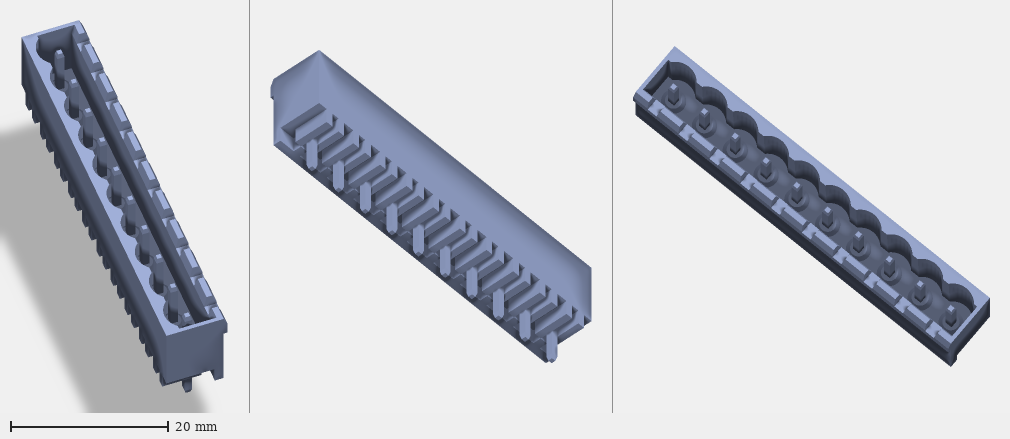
import cadquery as cq


length = 52.0
height = 12.05
latch_depth = 8.3
latch_overhang = 0.5
body_depth = latch_depth - latch_overhang
latch_drop = 3.0
latch_bevel_height = 1.2

pin_count = 10
end_to_pin = 3.1
pitch = (length - 2 * end_to_pin) / (pin_count - 1)
pin_x = [(i - (pin_count - 1) / 2) * pitch for i in range(pin_count)]
pin_y = 4.0

end_wall = 0.5
front_wall = 1.9
back_wall = 1.2
floor_z = 3.4
cavity_back = body_depth - back_wall
scallop_front = 0.95
scallop_width = 4.2
scallop_taper = 0.15

notch_depth = 1.5
notch_bottom_width = 1.4
notch_top_width = 1.9
wall_bevel = 0.4

foot_height = 2.35
foot_back = 5.35
rear_rail = 1.2
foot_outer_width = 3.35
foot_slot_width = 1.2
rail_front = body_depth - rear_rail

pin_width = 1.0
pin_tip_width = 0.6
pin_tip_length = 0.7
pin_bottom = -4.5
pin_top = 10.9
collar_diameter = 3.2
collar_top_diameter = 2.2
collar_height = (collar_diameter - collar_top_diameter) / 2


def block(x_min, x_max, y_min, y_max, z_min, z_max):
    size = (x_max - x_min, y_max - y_min, z_max - z_min)
    return cq.Workplane("XY").box(*size, centered=False).translate((x_min, y_min, z_min))


def make_housing():
    """Solid housing with the latch ledge along the top of its back."""
    return (
        cq.Workplane("YZ")
        .moveTo(0, 0)
        .lineTo(body_depth, 0)
        .lineTo(body_depth, height - latch_drop)
        .lineTo(latch_depth, height - latch_drop)
        .lineTo(latch_depth, height - latch_bevel_height)
        .lineTo(body_depth, height)
        .lineTo(0, height)
        .close()
        .extrude(length / 2, both=True)
    )


def make_cavity():
    """Open-topped pocket with a bevelled back wall and a tapered scallop in front of each pin."""
    half = length / 2 - end_wall
    pocket = (
        cq.Workplane("YZ")
        .moveTo(front_wall, floor_z)
        .lineTo(cavity_back, floor_z)
        .lineTo(cavity_back, height - notch_depth)
        .lineTo(cavity_back + wall_bevel, height)
        .lineTo(front_wall, height)
        .close()
        .extrude(half, both=True)
    )
    sagitta = front_wall - scallop_front
    radius = ((scallop_width / 2) ** 2 + sagitta**2) / (2 * sagitta)
    center_y = scallop_front + radius
    scallop_profile = [
        (0, floor_z),
        (radius - scallop_taper, floor_z),
        (radius, height),
        (0, height),
    ]
    scallop = cq.Workplane("XZ").polyline(scallop_profile).close().revolve(360, (0, 0), (0, 1))
    front_zone = block(-radius, radius, -radius, front_wall - center_y, floor_z, height)
    scallop = scallop.intersect(front_zone)
    for x in pin_x:
        pocket = pocket.union(scallop.translate((x, center_y, 0)))
    return pocket


def make_notch():
    """Flared notch through the back wall and the latch."""
    bottom = height - notch_depth
    return (
        cq.Workplane("XZ", origin=(0, cavity_back, 0))
        .moveTo(-notch_bottom_width / 2, bottom)
        .lineTo(notch_bottom_width / 2, bottom)
        .lineTo(notch_top_width / 2, height)
        .lineTo(-notch_top_width / 2, height)
        .close()
        .extrude(-(latch_depth - cavity_back))
    )


def make_foot_clearance():
    """Space cut below the housing, leaving a rear rail and a forked foot under each pin."""
    clearance = block(-length / 2, length / 2, 0, rail_front, 0, foot_height)
    foot_half = foot_outer_width / 2
    slot_half = foot_slot_width / 2
    foot = block(-foot_half, foot_half, 0, foot_back, 0, foot_height)
    slot = block(-slot_half, slot_half, 0, foot_back, 0, foot_height)
    web = block(-slot_half, slot_half, foot_back, rail_front, 0, foot_height)
    foot = foot.cut(slot).union(web)
    for x in pin_x:
        clearance = clearance.cut(foot.translate((x, 0, 0)))
    return clearance


def make_pin():
    """Square pin, tapered at both ends, with a conical collar on the cavity floor."""
    low = pin_bottom + pin_tip_length
    high = pin_top - pin_tip_length
    half = pin_width / 2
    shank = block(-half, half, -half, half, low, high)
    tip = (
        cq.Workplane("XY")
        .rect(pin_width, pin_width)
        .workplane(offset=pin_tip_length)
        .rect(pin_tip_width, pin_tip_width)
        .loft(ruled=True)
    )
    upper_tip = tip.translate((0, 0, high))
    lower_tip = tip.mirror("XY").translate((0, 0, low))
    collar = (
        cq.Workplane("XY", origin=(0, 0, floor_z))
        .circle(collar_diameter / 2)
        .workplane(offset=collar_height)
        .circle(collar_top_diameter / 2)
        .loft(ruled=True)
    )
    return shank.union(upper_tip).union(lower_tip).union(collar)


result = make_housing().cut(make_cavity()).cut(make_foot_clearance())
notch = make_notch()
pin = make_pin()
for x in pin_x:
    result = result.cut(notch.translate((x, 0, 0)))
    result = result.union(pin.translate((x, pin_y, 0)))